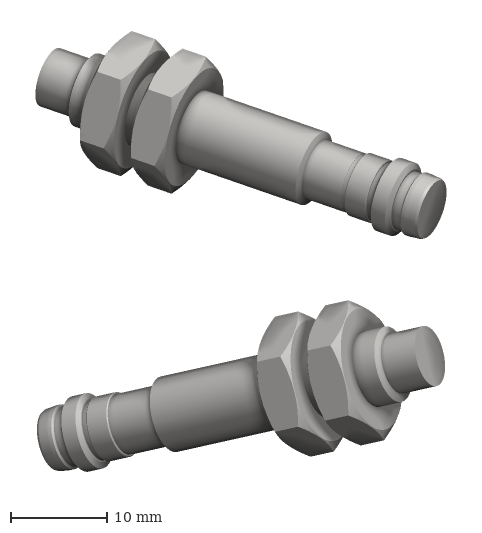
import cadquery as cq
import math

total_length = 45.0

nose_diameter = 6.4
barrel_edge_diameter = 6.5
barrel_diameter = 8.0
neck_diameter = 6.4
barrel_start = 4.0
barrel_end = 31.45
barrel_chamfer_length = 0.35
neck_step_position = 36.0
neck_step_diameter = 6.5

ring_start = 36.5
ring_end = 39.0
ring_diameter = 6.9
ring_chamfer = 0.1

flange_start = 39.6
flange_end = 42.0
flange_diameter = 8.0
flange_edge_diameter = 6.8
flange_chamfer_length = 0.35

tip_start = 42.98
tip_rim_start = 43.15
tip_rim_end = 43.6
tip_rim_diameter = 6.9
tip_diameter = 6.65
tip_chamfer = 0.25

nut_across_flats = 13.0
nut_thickness = 4.0
nut_starts = (6.98, 12.95)
nut_face_diameter = 12.85
nut_chamfer_angle = 30.0


def revolved(stations):
    """Turn (position along X, diameter) stations into a solid around the X axis."""
    first_position = stations[0][0]
    last_position = stations[-1][0]
    outline = [(first_position, 0)]
    outline += [(position, diameter / 2) for position, diameter in stations]
    outline.append((last_position, 0))
    return cq.Workplane("XY").polyline(outline).close().revolve(360, (0, 0, 0), (1, 0, 0))


def make_body():
    """Sensor body from the sensing face to the connector tip."""
    ring_edge_diameter = ring_diameter - 2 * ring_chamfer
    return revolved([
        (0, nose_diameter),
        (barrel_start, nose_diameter),
        (barrel_start, barrel_edge_diameter),
        (barrel_start + barrel_chamfer_length, barrel_diameter),
        (barrel_end - barrel_chamfer_length, barrel_diameter),
        (barrel_end, neck_step_diameter),
        (neck_step_position, neck_step_diameter),
        (neck_step_position, neck_diameter),
        (ring_start, neck_diameter),
        (ring_start, ring_edge_diameter),
        (ring_start + ring_chamfer, ring_diameter),
        (ring_end - ring_chamfer, ring_diameter),
        (ring_end, ring_edge_diameter),
        (ring_end, neck_diameter),
        (flange_start, neck_diameter),
        (flange_start, flange_edge_diameter),
        (flange_start + flange_chamfer_length, flange_diameter),
        (flange_end - flange_chamfer_length, flange_diameter),
        (flange_end, flange_edge_diameter),
        (flange_end, neck_diameter),
        (tip_start, neck_diameter),
        (tip_rim_start, tip_rim_diameter),
        (tip_rim_end, tip_rim_diameter),
        (total_length - tip_chamfer, tip_diameter),
        (total_length, neck_diameter),
    ])


def make_nut(start):
    """Hexagon nut whose corners are cut back by a cone on both faces."""
    corner_diameter = nut_across_flats / math.cos(math.radians(30))
    hexagon = (
        cq.Workplane("YZ", origin=(start, 0, 0))
        .polygon(6, corner_diameter)
        .extrude(nut_thickness)
    )
    corner_depth = (corner_diameter - nut_face_diameter) / 2
    chamfer_length = corner_depth * math.tan(math.radians(nut_chamfer_angle))
    end = start + nut_thickness
    chamfer_envelope = revolved([
        (start, nut_face_diameter),
        (start + chamfer_length, corner_diameter),
        (end - chamfer_length, corner_diameter),
        (end, nut_face_diameter),
    ])
    return hexagon.intersect(chamfer_envelope)


result = make_body()
for nut_start in nut_starts:
    result = result.union(make_nut(nut_start))